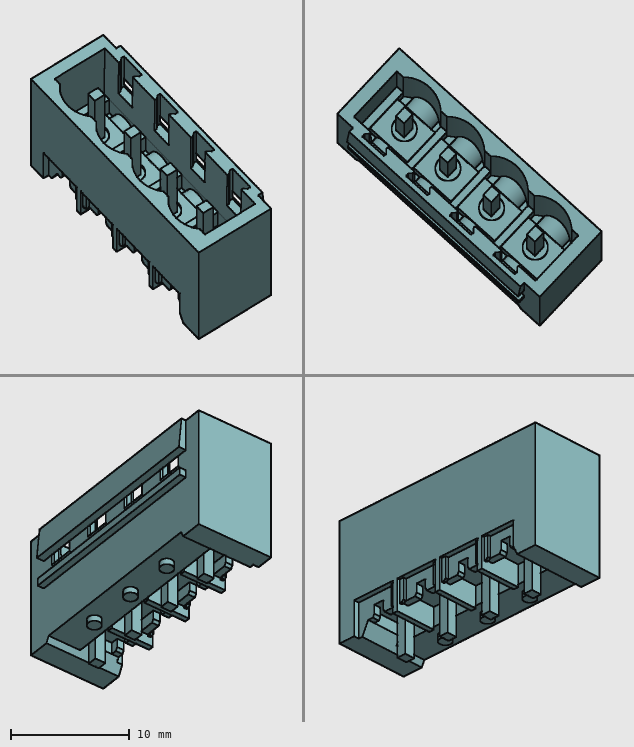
import cadquery as cq


contact_count = 4
pitch = 5.0
pin_width = 0.93
pin_depth = 1.07
pin_y = 3.8
pin_top = 11.1
pin_bottom = -1.5

length = 23.2
depth = 7.68
height = 12.0

side_wall = 1.2
cavity_length = length - 2 * side_wall
cavity_front = 1.6
cavity_back = 6.85
cell_width = 4.32
scallop_depth = 0.85
ledge_z = 5.68
back_draft = 0.07
cell_floor = 3.83

pedestal_front = 2.3
pedestal_back = 5.73
pedestal_top = 5.45
barrel_radius = 1.45
ring_diameter = 2.13
ring_depth = 0.23

key_mouth_width = 1.95
key_back_width = 2.45
key_neck_end = 7.1
key_flare_end = 7.4
key_sill = 7.82

latch_length = 19.63
latch_top_reach = 0.46
latch_bottom_reach = 0.75
latch_height = 3.13
bar_reach = 0.65
bar_bottom = 5.99
bar_height = 0.75

recess_left = 1.75
recess_right = 2.65
recess_top = 3.53
curtain_front = 0.55
curtain_back = 1.28
curtain_bottom = 1.37

foot_width = 2.15
foot_slope_run = 0.7
board_clearance = 0.6
solder_top = 2.55
solder_back = pin_y + pin_depth / 2
notch_width = 1.02
notch_flare_width = 1.4
notch_flare_top = 1.67

leg_width = 0.53
leg_bottom = 0.32
ridge_width = 0.46
ridge_front = 0.25
ridge_bottom = 1.2
ridge_flat = 0.23
peg_diameter = 1.28
peg_y = (solder_back + depth) / 2

row_middle = (contact_count - 1) / 2
pin_xs = [(i - row_middle) * pitch for i in range(contact_count)]
leg_xs = [x + pitch / 2 for x in pin_xs[:-1]]


def block(x_range, y_range, z_range):
    """Axis-aligned box between the given limits."""
    size = [high - low for low, high in (x_range, y_range, z_range)]
    corner = (x_range[0], y_range[0], z_range[0])
    return cq.Workplane("XY").box(*size, centered=False).translate(corner)


def centred_block(x, width, y_range, z_range):
    """Axis-aligned box centred on x."""
    return block((x - width / 2, x + width / 2), y_range, z_range)


def prism_along_y(points, y_range):
    """Prism with an XZ outline, running between two Y limits."""
    front, back = y_range
    return cq.Workplane("XZ", origin=(0, front, 0)).polyline(points).close().extrude(front - back)


def mating_cavity():
    """Open-topped cavity above the ledges, with a slightly drafted back wall."""
    return (
        cq.Workplane("YZ", origin=(-cavity_length / 2, 0, 0))
        .polyline([
            (cavity_front, ledge_z),
            (cavity_back, ledge_z),
            (cavity_back + back_draft, height),
            (cavity_front, height),
        ])
        .close()
        .extrude(cavity_length)
    )


def cell_space(x):
    """Room for one mating plug: a slot with a round scallop in the front wall."""
    half = cell_width / 2
    return (
        cq.Workplane("XY", origin=(x, 0, cell_floor))
        .moveTo(-half, cavity_back)
        .lineTo(-half, cavity_front)
        .threePointArc((0, cavity_front - scallop_depth), (half, cavity_front))
        .lineTo(half, cavity_back)
        .close()
        .extrude(height - cell_floor)
    )


def cell_base(x):
    """Half-round barrel along Y crossed by a pedestal with a round recess for the pin.

    The front end of the barrel runs into the scalloped wall.
    """
    barrel_start = cavity_front - scallop_depth
    barrel = (
        cq.Workplane("XZ", origin=(x, barrel_start, cell_floor))
        .moveTo(-barrel_radius, 0)
        .threePointArc((0, barrel_radius), (barrel_radius, 0))
        .close()
        .extrude(barrel_start - cavity_back)
    )
    pedestal = centred_block(x, cell_width, (pedestal_front, pedestal_back), (cell_floor, pedestal_top))
    ring = (
        cq.Workplane("XY", origin=(x, pin_y, pedestal_top - ring_depth))
        .circle(ring_diameter / 2)
        .extrude(ring_depth)
    )
    return barrel.union(pedestal).cut(ring)


def keyway(x):
    """Dovetail slot through the back wall, open at the top."""
    mouth = key_mouth_width / 2
    wide = key_back_width / 2
    return (
        cq.Workplane("XY", origin=(x, 0, key_sill))
        .polyline([
            (-mouth, cavity_back),
            (-mouth, key_neck_end),
            (-wide, key_flare_end),
            (-wide, depth),
            (wide, depth),
            (wide, key_flare_end),
            (mouth, key_neck_end),
            (mouth, cavity_back),
        ])
        .close()
        .extrude(height - key_sill)
    )


def latch():
    """Wedge-shaped strip along the top of the back face."""
    return (
        cq.Workplane("YZ", origin=(-latch_length / 2, 0, 0))
        .polyline([
            (depth, height),
            (depth + latch_top_reach, height),
            (depth + latch_bottom_reach, height - latch_height),
            (depth, height - latch_height),
        ])
        .close()
        .extrude(latch_length)
    )


def foot_gap(top, y_range):
    """Space between the sloped end feet, from their lower faces up to the given height."""
    outer = length / 2 - foot_width
    inner = outer - foot_slope_run * top / curtain_bottom
    return prism_along_y([(-outer, 0), (outer, 0), (inner, top), (-inner, top)], y_range)


def notch(x):
    """Flared notch in the curtain wall in front of one pin."""
    half = notch_width / 2
    flare = notch_flare_width / 2
    right_side = [(flare, curtain_bottom), (half, notch_flare_top), (half, solder_top)]
    left_side = [(-across, z) for across, z in reversed(right_side)]
    points = [(x + across, z) for across, z in right_side + left_side]
    return prism_along_y(points, (curtain_front, curtain_back))


def underside():
    """Everything removed below the cavity."""
    inner = length / 2 - foot_width - foot_slope_run
    recess = block(
        (recess_left - length / 2, length / 2 - recess_right), (0, curtain_front), (0, recess_top)
    )
    solder_space = block((-inner, inner), (curtain_back, solder_back), (curtain_bottom, solder_top))
    space = (
        recess.union(solder_space)
        .union(foot_gap(curtain_bottom, (0, solder_back)))
        .union(foot_gap(board_clearance, (solder_back, depth)))
    )
    for x in pin_xs:
        space = space.union(notch(x))
    return space


def leg(x):
    """Leg from the front face back to the solid rear, with a ridge on each side and a peg behind."""
    body = centred_block(x, leg_width, (0, solder_back), (leg_bottom, recess_top))
    near = leg_width / 2
    far = near + ridge_width
    for side in (-1, 1):
        outline = [
            (near, ridge_bottom),
            (near + ridge_flat, ridge_bottom),
            (far, curtain_bottom),
            (far, recess_top),
            (near, recess_top),
        ]
        points = [(x + side * across, z) for across, z in outline]
        body = body.union(prism_along_y(points, (ridge_front, curtain_front)))
    peg = cq.Workplane("XY", origin=(x, peg_y, 0)).circle(peg_diameter / 2).extrude(board_clearance)
    return body.union(peg)


def make_pin(x):
    """Straight rectangular contact pin."""
    return centred_block(
        x, pin_width, (pin_y - pin_depth / 2, pin_y + pin_depth / 2), (pin_bottom, pin_top)
    )


def make_housing():
    """Insulating shroud with a passage for every pin."""
    body = centred_block(0, length, (0, depth), (0, height))
    body = body.cut(mating_cavity())
    for x in pin_xs:
        body = body.cut(cell_space(x)).cut(keyway(x))
    body = body.cut(underside())
    for x in pin_xs:
        body = body.union(cell_base(x))
    for x in leg_xs:
        body = body.union(leg(x))
    bar = centred_block(
        0, latch_length, (depth, depth + bar_reach), (bar_bottom, bar_bottom + bar_height)
    )
    body = body.union(latch()).union(bar)
    for x in pin_xs:
        body = body.cut(make_pin(x))
    return body


housing = make_housing()
pins = [make_pin(x) for x in pin_xs]

result = cq.Compound.makeCompound([housing.val(), *[pin.val() for pin in pins]])